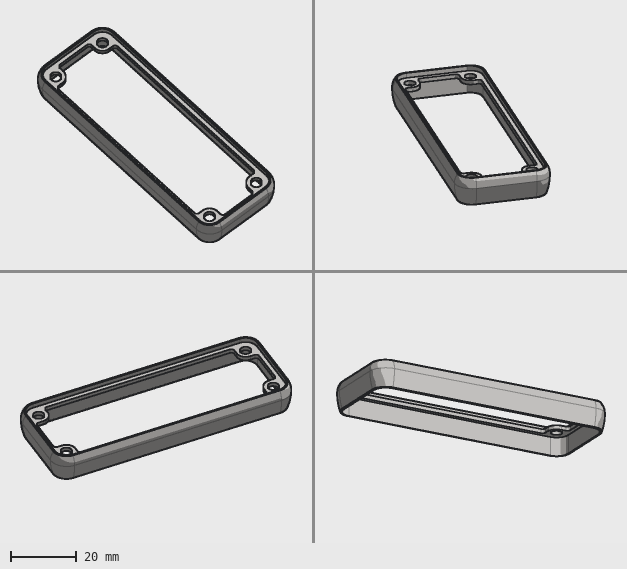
import cadquery as cq
import math

length = 81.1
width = 30.1
height = 9.0
corner_radius = 5.5
widest_level = 6.0

wall_depth = 1.55
top_inset = 1.05
bottom_inset = 1.0
bottom_chamfer = 0.2

flange_top = 7.4
flange_thickness = 1.4
flange_depth = 3.0
boss_radius = 3.1
hole_diameter = 3.5
opening_fillet = 1.0

hole_x = length / 2 - corner_radius
hole_y = width / 2 - corner_radius


def rounded_plate(inset, bottom, thickness):
    """Plate whose outline is the widest outline moved inwards by inset."""
    return (
        cq.Workplane("XY")
        .workplane(offset=bottom)
        .rect(length - 2 * inset, width - 2 * inset)
        .extrude(thickness)
        .edges("|Z")
        .fillet(corner_radius - inset)
    )


def bulge_inset(level, end_level, end_inset):
    """Inset at a level on the arc that is vertical at the widest level and ends at end_inset."""
    rise = end_level - widest_level
    radius = (rise**2 + end_inset**2) / (2 * end_inset)
    return radius - math.sqrt(radius**2 - (level - widest_level) ** 2)


def widest_outline():
    """Closed rounded rectangle, starting at the middle of the front side."""
    path = cq.Workplane("XY").moveTo(0, -width / 2)
    for quarter in range(4):
        start_angle = math.radians(90 * quarter - 90)
        middle_angle = start_angle + math.radians(45)
        end_angle = start_angle + math.radians(90)
        centre_x = math.copysign(hole_x, math.cos(middle_angle))
        centre_y = math.copysign(hole_y, math.sin(middle_angle))
        start, middle, end = [
            (centre_x + corner_radius * math.cos(angle), centre_y + corner_radius * math.sin(angle))
            for angle in (start_angle, middle_angle, end_angle)
        ]
        path = path.lineTo(*start).threePointArc(middle, end)
    return path.close()


def make_rim():
    """Bulged wall section swept around the rounded rectangle."""
    outer_y = -width / 2
    inner_y = outer_y + wall_depth
    upper_middle = (widest_level + height) / 2
    lower_middle = (widest_level + bottom_chamfer) / 2
    section = (
        cq.Workplane("YZ")
        .moveTo(inner_y, height)
        .lineTo(outer_y + top_inset, height)
        .threePointArc(
            (outer_y + bulge_inset(upper_middle, height, top_inset), upper_middle),
            (outer_y, widest_level),
        )
        .threePointArc(
            (outer_y + bulge_inset(lower_middle, bottom_chamfer, bottom_inset), lower_middle),
            (outer_y + bottom_inset, bottom_chamfer),
        )
        .lineTo(outer_y + bottom_inset + bottom_chamfer, 0)
        .lineTo(inner_y, 0)
        .close()
    )
    return section.sweep(widest_outline())


def make_flange():
    """Thin inner ledge with a lug and a screw hole in each corner."""
    flange_bottom = flange_top - flange_thickness
    overlap = (wall_depth - top_inset) / 2
    plate = rounded_plate(wall_depth - overlap, flange_bottom, flange_thickness)
    opening_x = length - 2 * flange_depth
    opening_y = width - 2 * flange_depth
    between_lugs_x = 2 * (hole_x - boss_radius)
    between_lugs_y = 2 * (hole_y - boss_radius)
    base = cq.Workplane("XY").workplane(offset=flange_bottom)
    long_slot = base.rect(opening_x, between_lugs_y).extrude(flange_thickness)
    cross_slot = base.rect(between_lugs_x, opening_y).extrude(flange_thickness)
    long_slot = long_slot.edges("|Z").fillet(opening_fillet)
    cross_slot = cross_slot.edges("|Z").fillet(opening_fillet)
    opening = long_slot.union(cross_slot)
    lug_corners = cq.selectors.BoxSelector(
        (-hole_x, -hole_y, flange_bottom),
        (hole_x, hole_y, flange_top),
    )
    opening = opening.edges("|Z").edges(lug_corners).fillet(boss_radius)
    holes = (
        base.rect(2 * hole_x, 2 * hole_y, forConstruction=True)
        .vertices()
        .circle(hole_diameter / 2)
        .extrude(flange_thickness)
    )
    return plate.cut(opening).cut(holes)


result = make_rim().union(make_flange())